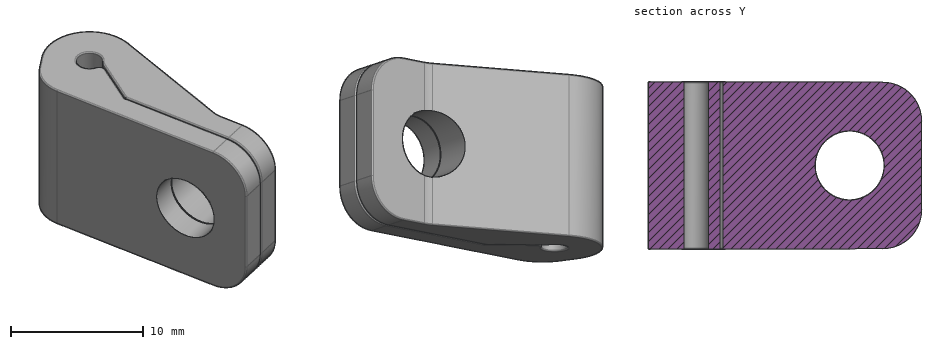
import cadquery as cq
import math

length = 20.75
depth = 8.15
height = 12.7

head_radius = 3.65
bore_radius = 1.0
heel_radius = 3.0
arm_slope = 20.0

flange_thickness = 2.0
gap = 0.1
corner_radius = 3.0
screw_hole_diameter = 5.2
screw_hole_to_end = 5.5
arm_blend_radius = 2.0

slit_slope = 35.0
slit_bend_x = 4.8
slit_inner_x = 0.4
slit_mouth_radius = 0.5

edge_radius = 0.1

x_end = length - head_radius
y_bottom = head_radius - depth
y_gap_low = y_bottom + flange_thickness
y_gap_mid = y_gap_low + gap / 2
y_flange_top = y_gap_low + gap + flange_thickness
screw_hole_x = x_end - screw_hole_to_end


def on_circle(radius, angle, center_y=0.0):
    """Point at an angle in degrees on a circle centred on the Y axis."""
    a = math.radians(angle)
    return (radius * math.cos(a), center_y + radius * math.sin(a))


def make_body():
    """Head, sloped arm and flanges as one solid plate profile."""
    heel_y = y_bottom + heel_radius
    tangent_angle = 180 + math.degrees(math.asin((head_radius - heel_radius) / -heel_y))
    arm_angle = 90 - arm_slope
    arm_start = on_circle(head_radius, arm_angle)
    arm_run = (arm_start[1] - y_flange_top) / math.tan(math.radians(arm_slope))
    arm_end = (arm_start[0] + arm_run, y_flange_top)
    body = (
        cq.Workplane("XY")
        .workplane(offset=-height / 2)
        .moveTo(0, y_bottom)
        .lineTo(x_end, y_bottom)
        .lineTo(x_end, y_flange_top)
        .lineTo(*arm_end)
        .lineTo(*arm_start)
        .threePointArc(on_circle(head_radius, (arm_angle + tangent_angle) / 2),
                       on_circle(head_radius, tangent_angle))
        .lineTo(*on_circle(heel_radius, tangent_angle, heel_y))
        .threePointArc(on_circle(heel_radius, (tangent_angle + 270) / 2, heel_y), (0, y_bottom))
        .close()
        .extrude(height)
    )
    body = body.edges(cq.NearestToPointSelector((*arm_end, 0))).fillet(arm_blend_radius)
    return body.faces(">X").edges("|Y").fillet(corner_radius)


def make_opening():
    """Bore, sloped slit and flange gap as one cutter."""
    slope = math.tan(math.radians(slit_slope))
    half_gap = gap / 2
    bend_shift = half_gap * math.tan(math.radians(slit_slope / 2))

    def wall(side):
        """Bend point and inner end of one slit wall; side is +1 upper, -1 lower."""
        bend = (slit_bend_x + side * bend_shift, y_gap_mid + side * half_gap)
        return bend, (slit_inner_x, bend[1] + (bend[0] - slit_inner_x) * slope)

    upper_bend, upper_end = wall(1)
    lower_bend, lower_end = wall(-1)
    base = cq.Workplane("XY").workplane(offset=-height / 2)
    slit = (
        base.polyline([
            (x_end, upper_bend[1]), upper_bend, upper_end,
            lower_end, lower_bend, (x_end, lower_bend[1]),
        ])
        .close()
        .extrude(height)
    )
    bore = base.circle(bore_radius).extrude(height)
    return bore.union(slit)


def round_slit_mouth(body):
    """Round the two vertical edges where the slit runs out of the bore."""
    reach = bore_radius + slit_mouth_radius
    mouth = cq.selectors.BoxSelector((0, -reach, -height), (reach, reach, height))
    return body.edges("|Z").edges(mouth).fillet(slit_mouth_radius)


def round_edges(body):
    """Round the end-face and flange outlines, slit and bore rims included."""
    vertical_sides = "|Z and (not >X)"
    flange_corner_lines = "|Y"
    return body.edges(f"not ({vertical_sides} or {flange_corner_lines})").fillet(edge_radius)


def drill_screw_hole(body):
    """Through hole along Y across both flanges and the foot of the arm."""
    drill = (
        cq.Workplane("XZ", origin=(screw_hole_x, head_radius, 0))
        .circle(screw_hole_diameter / 2)
        .extrude(depth)
    )
    return body.cut(drill)


body = make_body().cut(make_opening())
body = round_slit_mouth(body)
body = round_edges(body)
result = drill_screw_hole(body)